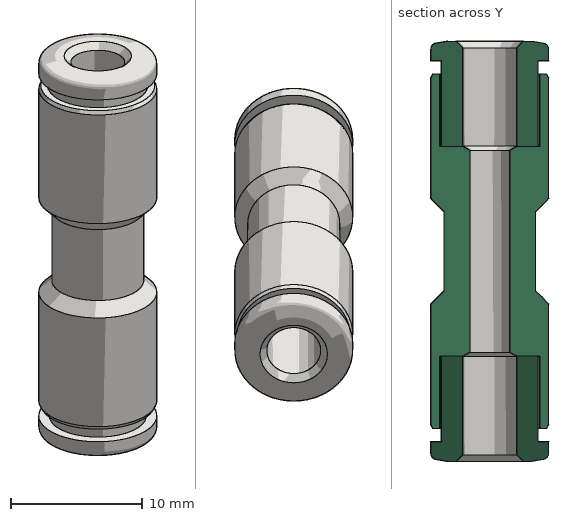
import cadquery as cq
import math

total_length = 32.0
outer_radius = 9.0 / 2
half_length = total_length / 2

neck_radius = 7.0 / 2
neck_half_length = 3.0
shoulder_height = outer_radius - neck_radius
body_half_length = half_length - 2.5
rim_chamfer_height = 0.3
rim_chamfer_width = 0.15
passage_radius = 3.0 / 2

sleeve_radius = 7.4 / 2
socket_radius = 7.6 / 2
tube_radius = 4.1 / 2
sleeve_depth = 8.0
flange_thickness = 1.5
face_radius = 3.23
crown_angle = math.radians(10)
flange_round = 0.48
mouth_radius = 2.55

socket_floor = half_length - sleeve_depth
flange_base = half_length - flange_thickness
funnel_angle = math.radians(30)
funnel_depth = (tube_radius - passage_radius) * math.tan(funnel_angle)


def make_body():
    """Revolved body with its neck, shoulders and chamfered rims."""
    rim_base = body_half_length - rim_chamfer_height
    shoulder_top = neck_half_length + shoulder_height
    upper_outline = [
        (neck_radius, neck_half_length),
        (outer_radius, shoulder_top),
        (outer_radius, rim_base),
        (outer_radius - rim_chamfer_width, body_half_length),
        (socket_radius, body_half_length),
        (socket_radius, socket_floor),
        (tube_radius, socket_floor),
        (passage_radius, socket_floor - funnel_depth),
    ]
    lower_outline = [(radius, -height) for radius, height in reversed(upper_outline)]
    return (
        cq.Workplane("XZ")
        .polyline(upper_outline + lower_outline)
        .close()
        .revolve(360, (0, 0, 0), (0, 1, 0))
    )


def make_collet():
    """Upper collet: sleeve, rounded flange with a crowned face, and tube bore."""
    arc_center_radius = outer_radius - flange_round
    arc_end_radius = arc_center_radius + flange_round * math.sin(crown_angle)
    arc_end_height = half_length - (arc_end_radius - face_radius) * math.tan(crown_angle)
    arc_center_height = arc_end_height - flange_round * math.cos(crown_angle)
    arc_middle_angle = (math.pi / 2 - crown_angle) / 2
    arc_middle = (
        arc_center_radius + flange_round * math.cos(arc_middle_angle),
        arc_center_height + flange_round * math.sin(arc_middle_angle),
    )
    mouth_depth = mouth_radius - tube_radius
    return (
        cq.Workplane("XZ")
        .moveTo(tube_radius, socket_floor)
        .lineTo(sleeve_radius, socket_floor)
        .lineTo(sleeve_radius, flange_base)
        .lineTo(outer_radius, flange_base)
        .lineTo(outer_radius, arc_center_height)
        .threePointArc(arc_middle, (arc_end_radius, arc_end_height))
        .lineTo(face_radius, half_length)
        .lineTo(mouth_radius, half_length)
        .lineTo(tube_radius, half_length - mouth_depth)
        .close()
        .revolve(360, (0, 0, 0), (0, 1, 0))
    )


body = make_body()

collets = []
for turn in (0, 180):
    collet = make_collet().rotate((0, 0, 0), (1, 0, 0), turn)
    collets.append(collet.val())

result = cq.Compound.makeCompound([body.val(), *collets])